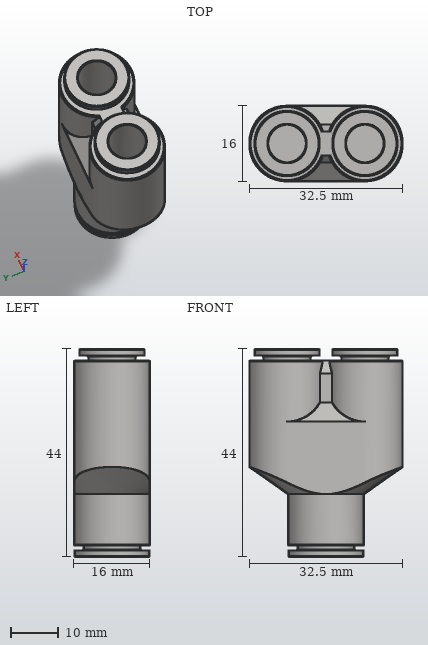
import cadquery as cq
import math


total_height = 44.0
port_diameter = 16.0
port_radius = port_diameter / 2
total_width = 32.47
branch_offset = (total_width - port_diameter) / 2

branch_flange_diameter = 13.8
branch_neck_diameter = 10.0
stem_flange_diameter = 15.8
stem_neck_diameter = 12.0
flange_thickness = 1.4
neck_length = 1.0
branch_flange_chamfer = 0.2
stem_flange_chamfer = 0.2
neck_root_chamfer = 0.2
sleeve_length = flange_thickness + neck_length

branch_chamfer = 0.25
stem_chamfer_height = 0.25
stem_chamfer_inset = 0.1
stem_bottom = sleeve_length
shoulder_height = 13.3
body_top = total_height - sleeve_length
cone_slope_angle = 35.0

block_top = 28.65
web_half_depth = 4.0
web_taper_start = 38.8
web_top_half_depth = 2.57

bore_diameter = 8.0
bore_depth = 17.0
bore_chamfer = 0.15


def revolve_profile(profile):
    """Solid of revolution about Z from (radius, height) points."""
    return cq.Workplane("XZ").polyline(profile).close().revolve(360, (0, 0), (0, 1))


def cylinder(diameter, bottom, top):
    return cq.Workplane("XY").workplane(offset=bottom).circle(diameter / 2).extrude(top - bottom)


def cone(bottom_diameter, top_diameter, bottom, top):
    profile = [(0, bottom), (bottom_diameter / 2, bottom), (top_diameter / 2, top), (0, top)]
    return revolve_profile(profile)


def at_branches(shape):
    """Two copies of a centred shape, one on each branch axis."""
    left = shape.translate((-branch_offset, 0, 0))
    right = shape.translate((branch_offset, 0, 0))
    return left.union(right)


def make_middle():
    """Block and narrower web joining the branches, symmetric about Y = 0."""
    ramp_top = block_top + port_radius - web_half_depth
    half_outline = [
        (port_radius, shoulder_height),
        (port_radius, block_top),
        (web_half_depth, ramp_top),
        (web_half_depth, web_taper_start),
        (web_top_half_depth, body_top),
    ]
    mirrored = [(-y, z) for y, z in reversed(half_outline)]
    outline = cq.Workplane("YZ").polyline(half_outline + mirrored).close()
    return outline.extrude(branch_offset, both=True)


def make_cone_envelope():
    """Solid of revolution whose conical underside trims the branches toward the stem."""
    outer_radius = total_width
    rise = (outer_radius - port_radius) * math.tan(math.radians(cone_slope_angle))
    profile = [
        (0, shoulder_height),
        (port_radius, shoulder_height),
        (outer_radius, shoulder_height + rise),
        (outer_radius, total_height),
        (0, total_height),
    ]
    return revolve_profile(profile)


def make_body():
    branch = cylinder(port_diameter, shoulder_height, body_top).faces(">Z").chamfer(branch_chamfer)
    upper = at_branches(branch).union(make_middle()).intersect(make_cone_envelope())
    stem_chamfer_top = stem_bottom + stem_chamfer_height
    stem = cylinder(port_diameter, stem_chamfer_top, shoulder_height)
    stem_end = cone(port_diameter - 2 * stem_chamfer_inset, port_diameter, stem_bottom, stem_chamfer_top)
    return upper.union(stem).union(stem_end)


def make_branch_sleeve():
    flange_bottom = total_height - flange_thickness
    neck = cylinder(branch_neck_diameter, body_top, total_height)
    root_diameter = branch_neck_diameter + 2 * neck_root_chamfer
    root = cone(branch_neck_diameter, root_diameter, flange_bottom - neck_root_chamfer, flange_bottom)
    flange = cylinder(branch_flange_diameter, flange_bottom, total_height)
    return neck.union(root).union(flange.faces(">Z").chamfer(branch_flange_chamfer))


def make_stem_sleeve():
    neck = cylinder(stem_neck_diameter, 0, stem_bottom)
    root_diameter = stem_neck_diameter + 2 * neck_root_chamfer
    root = cone(root_diameter, stem_neck_diameter, flange_thickness, flange_thickness + neck_root_chamfer)
    flange = cylinder(stem_flange_diameter, 0, flange_thickness)
    return neck.union(root).union(flange.faces("<Z").chamfer(stem_flange_chamfer))


def make_bore():
    """Blind bore with a small chamfer at its mouth."""
    bore_radius = bore_diameter / 2
    mouth_radius = bore_radius + bore_chamfer
    bottom = total_height - bore_depth
    profile = [
        (0, bottom),
        (bore_radius, bottom),
        (bore_radius, total_height - bore_chamfer),
        (mouth_radius, total_height),
        (0, total_height),
    ]
    return revolve_profile(profile)


fitting = make_body().union(at_branches(make_branch_sleeve())).union(make_stem_sleeve())
result = fitting.cut(at_branches(make_bore()))